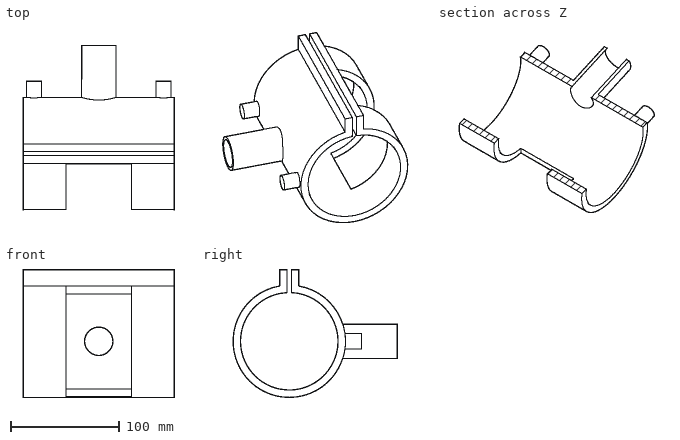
import cadquery as cq

sleeve_length = 140.0
wall = 7.0
outer_radius = 52.0
inner_radius = outer_radius - wall

split_gap = 4.0
flange_top = 66.3
flange_span = split_gap + 2 * wall

window_width = 60.3
window_edge_y = -9.7

pipe_diameter = 31.9
pipe_bore = 26.0
pipe_end_y = 100.0
pin_diameter = 14.0
pin_end_y = 66.9
pin_offset = 59.9


def x_cylinder(radius):
    """Cylinder of the sleeve's length, centred on the X axis."""
    return cq.Workplane("YZ").circle(radius).extrude(sleeve_length / 2, both=True)


def y_cylinder(diameter, end_y, x=0):
    """Cylinder running from the sleeve axis to end_y."""
    return cq.Workplane("XZ").center(x, 0).circle(diameter / 2).extrude(-end_y)


def upright_block(width_y):
    """Full-length block rising from the sleeve axis to the flange top."""
    return cq.Workplane("XY").rect(sleeve_length, width_y).extrude(flange_top)


body = x_cylinder(outer_radius).union(upright_block(flange_span))
body = body.union(y_cylinder(pipe_diameter, pipe_end_y))
for side in (-1, 1):
    body = body.union(y_cylinder(pin_diameter, pin_end_y, side * pin_offset))

body = body.cut(x_cylinder(inner_radius))
body = body.cut(upright_block(split_gap))
body = body.cut(y_cylinder(pipe_bore, pipe_end_y))

window_depth = outer_radius + window_edge_y
window = cq.Workplane("XY").box(window_width, window_depth, 2 * outer_radius)
window = window.translate((0, window_edge_y - window_depth / 2, 0))

result = body.cut(window)